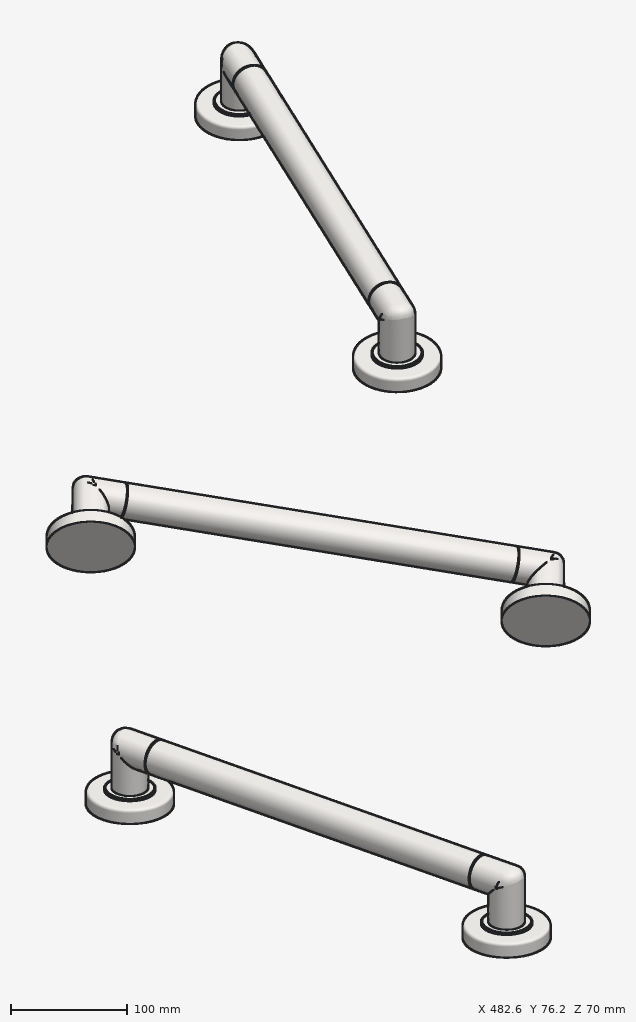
import cadquery as cq

overall_length = 482.6
overall_height = 69.98
flange_diameter = 76.2

flange_height = 13.8
flange_edge_round = 3.175
collar_diameter = 44.45
collar_height = 1.7
collar_chamfer = 1.2

tube_radius = 15.875
corner_round = 9.525
knuckle_side_gap = 0.1

joint_offset = 28.4
joint_width = 1.0
joint_depth = 0.2

leg_x = (overall_length - flange_diameter) / 2
rail_z = overall_height - tube_radius
joint_x = leg_x - joint_offset


def make_rail(start_x, end_x):
    """A horizontal stretch of round bar at the rail height."""
    return cq.Workplane("YZ", origin=(start_x, 0, rail_z)).circle(tube_radius).extrude(end_x - start_x)


def make_leg(x, height):
    """An upright round bar standing on the base plane."""
    return cq.Workplane("XY", origin=(x, 0, 0)).circle(tube_radius).extrude(height)


def make_knuckle(side):
    """The rounded outer corner of an elbow: the quarter of the leg and rail overlap beyond both axes.

    The mitre edge dies out where leg and rail become tangent, so the block stops just short of there.
    """
    x = side * leg_x
    upright = make_leg(x, overall_height)
    level = make_rail(x - tube_radius, x + tube_radius)
    block_width = 2 * (tube_radius - knuckle_side_gap)
    block_center = (x + side * tube_radius / 2, 0, rail_z + tube_radius / 2)
    corner_block = cq.Workplane("XY").box(tube_radius, block_width, tube_radius).translate(block_center)
    corner = upright.intersect(level).intersect(corner_block)
    outer_mitre = cq.selectors.BoxSelector(
        (x + side * knuckle_side_gap, -tube_radius, rail_z + knuckle_side_gap),
        (x + side * tube_radius, tube_radius, overall_height),
    )
    return corner.edges(outer_mitre).edges("%ELLIPSE").fillet(corner_round)


def make_tube():
    """Two legs and a rail joined by rounded elbows."""
    tube = make_rail(-leg_x, leg_x)
    for side in (-1, 1):
        tube = tube.union(make_leg(side * leg_x, rail_z)).union(make_knuckle(side))
    return tube


def make_flange(x):
    """A round wall flange with a rounded rim and a chamfered collar."""
    flange = (
        cq.Workplane("XY", origin=(x, 0, 0))
        .circle(flange_diameter / 2)
        .extrude(flange_height)
        .faces(">Z")
        .edges()
        .fillet(flange_edge_round)
    )
    collar = (
        cq.Workplane("XY", origin=(x, 0, flange_height))
        .circle(collar_diameter / 2)
        .extrude(collar_height)
        .faces(">Z")
        .edges()
        .chamfer(collar_chamfer)
    )
    return flange.union(collar)


def make_joint_groove(x):
    """The ring to cut away from the rail at a joint centred on x."""
    return (
        cq.Workplane("YZ", origin=(x - joint_width / 2, 0, rail_z))
        .circle(tube_radius + joint_depth)
        .circle(tube_radius - joint_depth)
        .extrude(joint_width)
    )


result = make_tube()
for side in (-1, 1):
    result = result.union(make_flange(side * leg_x))
    result = result.cut(make_joint_groove(side * joint_x))